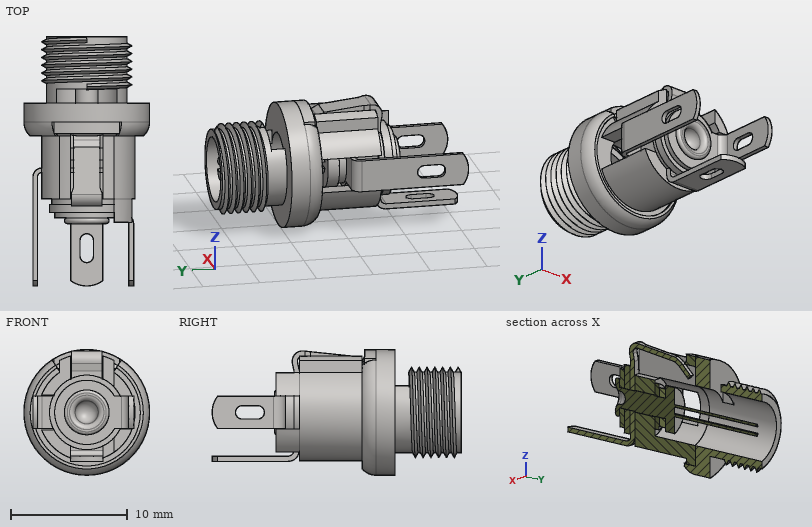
import cadquery as cq
import math


SHELL_FRONT = 5.7
NECK_RADIUS = 3.47
THREAD_RADIUS = 3.9
THREAD_PITCH = 0.668
THREAD_TURNS = 6
THREAD_BASE = 0.47
THREAD_EMBED = 0.06
THREAD_START = SHELL_FRONT - 0.28
BORE_RADIUS = 5.6 / 2
WINDOW_WIDTH = 5.18
WINDOW_LENGTH = 1.2
FLANGE_RADIUS = 10.8 / 2
RIM_FRONT = -1.63
RIM_REAR = -2.82
RIM_EDGE_RADIUS = 4.85
RECESS_RADIUS = 4.6
NOTCH_HALF_ANGLE = 33.5

COLLAR_FRONT = -3.87
COLLAR_REAR = -4.88
INNER_WASHER_REAR = -5.56
SWITCH_RING_REAR = -5.97
INSULATOR_REAR = -8.22
SLEEVE_RING_REAR = -8.69
OUTER_WASHER_REAR = -9.4
PIN_RING_REAR = -9.85
RIVET_REAR = -10.35
TAB_END = SHELL_FRONT - 21.4

INSULATOR_RADIUS = 4.15
BASE_REAR = -2.61
KEY_WIDTH = 5.6
LEDGE_OUTER_RADIUS = 4.82
LEDGE_INNER_RADIUS = 4.45
TOWER_RADIUS = 5.03
TOWER_HALF_WIDTH = 2.35
SPRING_SLOT_WIDTH = 2.78
SWITCH_SLOT_WIDTH = 3.0
SLOT_FLOOR = 2.35
SPRING_SLOT_ROOF = 4.39
ARM_REAR = -10.23
ARM_SLOT_WIDTH = 2.82

PIN_RADIUS = 2.0 / 2
PIN_FRONT = 5.14
PIN_SLIT = 0.6
COLLAR_RADIUS = 4.5 / 2
SHANK_RADIUS = 2.5 / 2
INNER_WASHER_RADIUS = 3.9 / 2
OUTER_WASHER_RADIUS = 6.4 / 2
RIVET_RADIUS = 3.85 / 2
RIVET_LIP_INNER = 1.48

TAB_WIDTH = 2.78
TAB_NOSE = 0.47
EYE_WIDTH = 1.13
EYE_LENGTH = 2.46
EYE_CENTRE = -12.45
SWITCH_RING_RADIUS = 4.5 / 2
SWITCH_TAB_OUTER = 4.62
SWITCH_BEND = 0.36
SLEEVE_RING_RADIUS = 3.02
SLEEVE_TAB_OUTER = 4.22
SLEEVE_BEND = 0.5
PIN_RING_RADIUS = 2.75
PIN_TAB_OUTER = 4.05
PIN_BEND = 0.6

LEAF_WIDTH = 2.27
FOLD_WIDTH = 2.65
LEAF_TAPER_FRONT = -7.28
LEAF_TAPER_REAR = -7.75
FOLD_RADIUS = 0.43

BIG = 12.85


def disc(radius, front, rear):
    """Cylinder about the jack axis from y = front back to y = rear."""
    solid = cq.Solid.makeCylinder(radius, front - rear, cq.Vector(0, front, 0), cq.Vector(0, -1, 0))
    return cq.Workplane(solid)


def block(x0, x1, y0, y1, z0, z1):
    """Box between the given limits."""
    corner = cq.Vector(x0, y0, z0)
    return cq.Workplane(cq.Solid.makeBox(x1 - x0, y1 - y0, z1 - z0, corner))


def revolved(outline):
    """Turn an outline drawn as (radius, y) about the jack axis."""
    return outline.close().revolve(360, (0, 0, 0), (0, 1, 0))


def notch_wedge(front, rear):
    """Wedge about the top of the flange, narrowing to the axis."""
    half_width = BIG * math.tan(math.radians(NOTCH_HALF_ANGLE))
    corners = [(0, 0), (half_width, BIG), (-half_width, BIG)]
    return cq.Workplane("XZ", origin=(0, front, 0)).polyline(corners).close().extrude(front - rear)


def thread():
    """Sharp helical ridge, running from the top of the neck towards -X and back along the axis."""
    root = NECK_RADIUS - THREAD_EMBED
    half = THREAD_BASE / 2 * (THREAD_RADIUS - root) / (THREAD_RADIUS - NECK_RADIUS)
    helix = cq.Wire.makeHelix(THREAD_PITCH, THREAD_PITCH * THREAD_TURNS, NECK_RADIUS)
    ridge = (
        cq.Workplane("XZ")
        .polyline([(root, -half), (THREAD_RADIUS, 0), (root, half)])
        .close()
        .sweep(cq.Workplane(helix), isFrenet=True)
    )
    frame = cq.Plane(origin=(0, THREAD_START, 0), xDir=(0, 0, 1), normal=(0, -1, 0))
    return cq.Workplane(ridge.val().moved(cq.Location(frame)))


def make_shell():
    """Threaded neck and flange, with a recess behind for the insulator."""
    neck = disc(NECK_RADIUS, SHELL_FRONT, RIM_FRONT)
    flange = disc(FLANGE_RADIUS, 0, RIM_FRONT)
    drop = FLANGE_RADIUS - RIM_EDGE_RADIUS
    depth = RIM_FRONT - RIM_REAR
    round_radius = (drop**2 + depth**2) / (2 * drop)
    half_turn = math.asin(depth / round_radius) / 2
    middle = (
        FLANGE_RADIUS - round_radius * (1 - math.cos(half_turn)),
        RIM_FRONT - round_radius * math.sin(half_turn),
    )
    rim = revolved(
        cq.Workplane("XY")
        .moveTo(0, RIM_FRONT)
        .lineTo(FLANGE_RADIUS, RIM_FRONT)
        .threePointArc(middle, (RIM_EDGE_RADIUS, RIM_REAR))
        .lineTo(0, RIM_REAR)
    )
    rim = rim.cut(notch_wedge(RIM_FRONT, RIM_REAR))
    window = block(-WINDOW_WIDTH / 2, WINDOW_WIDTH / 2, 0, WINDOW_LENGTH, 0, BIG)
    return (
        neck.union(flange)
        .union(rim)
        .cut(disc(BORE_RADIUS, SHELL_FRONT, RIM_REAR))
        .cut(disc(RECESS_RADIUS, RIM_FRONT, RIM_REAR))
        .cut(window)
        .union(thread())
    )


def make_insulator():
    """Keyed base in the shell recess, with a round block, two spring towers and a tab arm behind it."""
    base = disc(RECESS_RADIUS, RIM_FRONT, BASE_REAR)
    key = (
        disc(FLANGE_RADIUS, RIM_FRONT, BASE_REAR)
        .intersect(block(-KEY_WIDTH / 2, KEY_WIDTH / 2, -BIG, BIG, 0, BIG))
        .intersect(notch_wedge(RIM_FRONT, BASE_REAR))
    )
    ledge = revolved(
        cq.Workplane("XY")
        .moveTo(0, BASE_REAR)
        .lineTo(LEDGE_OUTER_RADIUS, BASE_REAR)
        .lineTo(LEDGE_INNER_RADIUS, RIM_REAR)
        .lineTo(0, RIM_REAR)
    ).intersect(notch_wedge(BASE_REAR, RIM_REAR))
    body = disc(INSULATOR_RADIUS, BASE_REAR, INSULATOR_REAR)
    towers = disc(TOWER_RADIUS, RIM_REAR, INSULATOR_REAR).intersect(
        block(-TOWER_HALF_WIDTH, TOWER_HALF_WIDTH, -BIG, BIG, 0, BIG)
    )
    arm = (
        disc(INSULATOR_RADIUS, INSULATOR_REAR, ARM_REAR)
        .intersect(block(TOWER_HALF_WIDTH, BIG, -BIG, BIG, -BIG, BIG))
        .cut(disc(OUTER_WASHER_RADIUS, INSULATOR_REAR, ARM_REAR))
        .cut(block(0, BIG, ARM_REAR, INSULATOR_REAR, -ARM_SLOT_WIDTH / 2, ARM_SLOT_WIDTH / 2))
    )
    half_spring = SPRING_SLOT_WIDTH / 2
    half_switch = SWITCH_SLOT_WIDTH / 2
    return (
        base.union(key)
        .union(ledge)
        .union(body)
        .union(towers)
        .union(arm)
        .cut(disc(BORE_RADIUS, RIM_FRONT, SWITCH_RING_REAR))
        .cut(disc(SHANK_RADIUS, RIM_FRONT, INSULATOR_REAR))
        .cut(block(-half_spring, half_spring, INSULATOR_REAR, RIM_REAR, SLOT_FLOOR, BIG))
        .cut(block(-half_spring, half_spring, RIM_REAR, RIM_FRONT, SLOT_FLOOR, SPRING_SLOT_ROOF))
        .cut(block(-BIG, -SLOT_FLOOR, INSULATOR_REAR, BASE_REAR, -half_switch, half_switch))
    )


def make_pin():
    """Slit contact pin with a collar and a shank rolled over at the rear like a hollow rivet."""
    bead = (PIN_RING_REAR - RIVET_REAR) / 2
    bead_middle = PIN_RING_REAR - bead
    hole_mouth = PIN_RING_REAR
    flare = math.sqrt(0.5)
    pin = revolved(
        cq.Workplane("XY")
        .moveTo(0, PIN_FRONT)
        .lineTo(PIN_RADIUS, PIN_FRONT)
        .lineTo(PIN_RADIUS, COLLAR_FRONT)
        .lineTo(COLLAR_RADIUS, COLLAR_FRONT)
        .lineTo(COLLAR_RADIUS, COLLAR_REAR)
        .lineTo(SHANK_RADIUS, COLLAR_REAR)
        .lineTo(SHANK_RADIUS, PIN_RING_REAR)
        .lineTo(RIVET_RADIUS - bead, PIN_RING_REAR)
        .threePointArc((RIVET_RADIUS, bead_middle), (RIVET_RADIUS - bead, RIVET_REAR))
        .lineTo(RIVET_LIP_INNER, RIVET_REAR)
        .threePointArc(
            (
                PIN_RADIUS + (RIVET_LIP_INNER - PIN_RADIUS) * (1 - flare),
                hole_mouth + (RIVET_REAR - hole_mouth) * flare,
            ),
            (PIN_RADIUS, hole_mouth),
        )
        .threePointArc((PIN_RADIUS * flare, hole_mouth + PIN_RADIUS * flare), (0, hole_mouth + PIN_RADIUS))
    )
    return pin.cut(block(-BIG, BIG, COLLAR_FRONT, PIN_FRONT, -PIN_SLIT / 2, PIN_SLIT / 2))


def make_washer(radius, front, rear):
    """Flat washer that fits the pin shank."""
    return disc(radius, front, rear).cut(disc(SHANK_RADIUS, front, rear))


def tab_plan(width):
    """Plan of a solder tab lying flat: arc-shaped nose at the end and an oblong eye, along Z."""
    half = width / 2
    outline = (
        cq.Workplane("XY")
        .moveTo(-half, BIG)
        .lineTo(-half, TAB_END + TAB_NOSE)
        .threePointArc((0, TAB_END), (half, TAB_END + TAB_NOSE))
        .lineTo(half, BIG)
        .close()
        .extrude(2 * BIG, both=True)
    )
    eye = (
        cq.Workplane("XY")
        .center(0, EYE_CENTRE)
        .slot2D(EYE_LENGTH, EYE_WIDTH, 90)
        .extrude(2 * BIG, both=True)
    )
    return outline.cut(eye)


def fillet_bend(strip, corner, radius):
    """Round the edge along X that passes through the corner (y, z)."""
    y, z = corner
    margin = 0.01
    finder = cq.selectors.BoxSelector(
        (-BIG, y - margin, z - margin), (BIG, y + margin, z + margin)
    )
    return strip.edges(finder).fillet(radius)


def make_ring_contact(ring_radius, front, rear, tab_outer, bend):
    """Ring on the pin with a tab that runs down to z = -tab_outer, then bends back to the tab end."""
    sheet = front - rear
    strip = (
        cq.Workplane("YZ")
        .polyline(
            [
                (front, 0),
                (front, -tab_outer),
                (TAB_END, -tab_outer),
                (TAB_END, sheet - tab_outer),
                (rear, sheet - tab_outer),
                (rear, 0),
            ]
        )
        .close()
        .extrude(TAB_WIDTH / 2, both=True)
    )
    strip = fillet_bend(strip, (front, -tab_outer), bend + sheet)
    strip = fillet_bend(strip, (rear, sheet - tab_outer), bend)
    strip = strip.intersect(tab_plan(TAB_WIDTH))
    return disc(ring_radius, front, rear).union(strip).cut(disc(SHANK_RADIUS, front, rear))


def turned(contact, angle):
    """Turn a contact about the jack axis."""
    return contact.rotate((0, 0, 0), (0, 1, 0), angle)


def mitred_strip(path, thickness):
    """Corner points of both sides of a strip that follows the centre line path."""
    half = thickness / 2
    directions = []
    for start, end in zip(path, path[1:]):
        directions.append(math.atan2(end[1] - start[1], end[0] - start[0]))
    left = []
    right = []
    for index, (y, z) in enumerate(path):
        before = directions[max(index - 1, 0)]
        after = directions[min(index, len(directions) - 1)]
        bisector = (before + after) / 2
        reach = half / math.cos((after - before) / 2)
        left.append((y - reach * math.sin(bisector), z + reach * math.cos(bisector)))
        right.append((y + reach * math.sin(bisector), z - reach * math.cos(bisector)))
    return left, right


def make_spring_leaf():
    """Strip that rises from the sleeve ring, folds over forwards and dips into the bore."""
    sheet = INSULATOR_REAR - SLEEVE_RING_REAR
    plate_y = (INSULATOR_REAR + SLEEVE_RING_REAR) / 2
    path = [
        (-2.25, 3.32),
        (-3.3, 4.32),
        (-3.83, 4.62),
        (-8.77, 5.14),
        (plate_y, 3.57),
        (plate_y, 0),
    ]
    left, right = mitred_strip(path, sheet)
    leaf = cq.Workplane("YZ").polyline(left + right[::-1]).close().extrude(TAB_WIDTH / 2, both=True)
    fold = 3
    leaf = fillet_bend(leaf, left[fold], FOLD_RADIUS)
    leaf = fillet_bend(leaf, right[fold], FOLD_RADIUS + sheet)
    half_leaf = LEAF_WIDTH / 2
    half_fold = FOLD_WIDTH / 2
    plan = (
        cq.Workplane("XY")
        .polyline(
            [
                (-half_leaf, BIG),
                (-half_leaf, LEAF_TAPER_FRONT),
                (-half_fold, LEAF_TAPER_REAR),
                (-half_fold, -BIG),
                (half_fold, -BIG),
                (half_fold, LEAF_TAPER_REAR),
                (half_leaf, LEAF_TAPER_FRONT),
                (half_leaf, BIG),
            ]
        )
        .close()
        .extrude(BIG)
    )
    return leaf.intersect(plan)


def make_sleeve_contact():
    """Ring with a solder tab below and the spring leaf above."""
    contact = make_ring_contact(
        SLEEVE_RING_RADIUS, INSULATOR_REAR, SLEEVE_RING_REAR, SLEEVE_TAB_OUTER, SLEEVE_BEND
    )
    contact = contact.union(make_spring_leaf())
    return contact.cut(disc(SHANK_RADIUS, INSULATOR_REAR, SLEEVE_RING_REAR))


shell = make_shell()
insulator = make_insulator()
pin = make_pin()
inner_washer = make_washer(INNER_WASHER_RADIUS, COLLAR_REAR, INNER_WASHER_REAR)
outer_washer = make_washer(OUTER_WASHER_RADIUS, SLEEVE_RING_REAR, OUTER_WASHER_REAR)
switch_blank = make_ring_contact(
    SWITCH_RING_RADIUS, INNER_WASHER_REAR, SWITCH_RING_REAR, SWITCH_TAB_OUTER, SWITCH_BEND
)
switch_contact = turned(switch_blank, 90)
sleeve_contact = make_sleeve_contact()
pin_blank = make_ring_contact(
    PIN_RING_RADIUS, OUTER_WASHER_REAR, PIN_RING_REAR, PIN_TAB_OUTER, PIN_BEND
)
pin_contact = turned(pin_blank, -90)

bodies = [shell, insulator, pin, inner_washer, outer_washer, switch_contact, sleeve_contact, pin_contact]
result = cq.Compound.makeCompound([body.solids().val() for body in bodies])